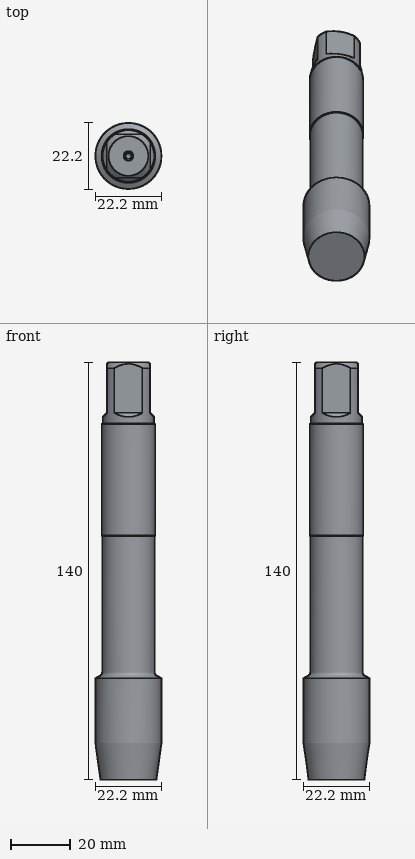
import cadquery as cq
import math

total_length = 140.0

head_diameter = 22.21
tip_diameter = 18.8
lead_length = 12.3
head_length = 34.0

neck_diameter = 17.7
shoulder_angle = 30.0
shoulder_rise = (head_diameter - neck_diameter) / 2 * math.tan(math.radians(shoulder_angle))
shoulder_top = head_length + shoulder_rise
shoulder_fillet = 1.2

shank_diameter = 18.0
shank_bottom = 81.6
shank_top = 119.5
shank_bottom_taper = 0.4
shank_top_taper = 0.36

drive_diameter = 17.28
drive_across_flats = 14.5
flat_count = 4
flat_length = 17.0
drive_chamfer = 2.0

centre_hole_diameter = 2.0
centre_hole_mouth = 3.2
countersink_depth = 1.0
centre_hole_depth = 4.0
drill_point_angle = 118.0


def revolve_profile(points):
    """Revolve a closed outline of (radius, height) points about the Z axis."""
    return cq.Workplane("XZ").polyline(points).close().revolve(360, (0, 0, 0), (0, 1, 0))


def make_cutting_head():
    """Cylinder with a tapered lead at the tip."""
    return revolve_profile([
        (0, 0),
        (tip_diameter / 2, 0),
        (head_diameter / 2, lead_length),
        (head_diameter / 2, head_length),
        (0, head_length),
    ])


def make_shank_blank():
    """Shoulder, neck, full-diameter shank and chamfered round drive end."""
    blank = revolve_profile([
        (0, head_length),
        (head_diameter / 2, head_length),
        (neck_diameter / 2, shoulder_top),
        (neck_diameter / 2, shank_bottom),
        (shank_diameter / 2, shank_bottom + shank_bottom_taper),
        (shank_diameter / 2, shank_top - shank_top_taper),
        (drive_diameter / 2, shank_top),
        (drive_diameter / 2, total_length - drive_chamfer),
        (drive_diameter / 2 - drive_chamfer, total_length),
        (0, total_length),
    ])
    shoulder_corner = cq.selectors.NearestToPointSelector((0, 0, shoulder_top))
    return blank.edges(shoulder_corner).fillet(shoulder_fillet)


def make_flat_cutter():
    """Cutter for the flat on the +X side; its lower end runs out at 45 degrees."""
    flat = drive_across_flats / 2
    outside = shank_diameter / 2
    flat_bottom = total_length - flat_length
    runout_bottom = flat_bottom - (outside - flat)
    return (
        cq.Workplane("XZ")
        .polyline([
            (flat, flat_bottom),
            (outside, runout_bottom),
            (outside, total_length),
            (flat, total_length),
        ])
        .close()
        .extrude(outside, both=True)
    )


def make_centre_hole():
    """Cutter for a small countersunk bore with a drill point at its bottom."""
    bore_radius = centre_hole_diameter / 2
    bore_bottom = total_length - centre_hole_depth
    point_depth = bore_radius / math.tan(math.radians(drill_point_angle / 2))
    return revolve_profile([
        (0, total_length),
        (centre_hole_mouth / 2, total_length),
        (bore_radius, total_length - countersink_depth),
        (bore_radius, bore_bottom),
        (0, bore_bottom - point_depth),
    ])


def make_shank():
    """Shank with its square drive and centre hole."""
    shank = make_shank_blank().cut(make_centre_hole())
    for side in range(flat_count):
        turn = 360 / flat_count * side
        shank = shank.cut(make_flat_cutter().rotate((0, 0, 0), (0, 0, 1), turn))
    return shank


cutting_head = make_cutting_head()
shank = make_shank()

result = cq.Compound.makeCompound([cutting_head.val(), shank.solids().val()])